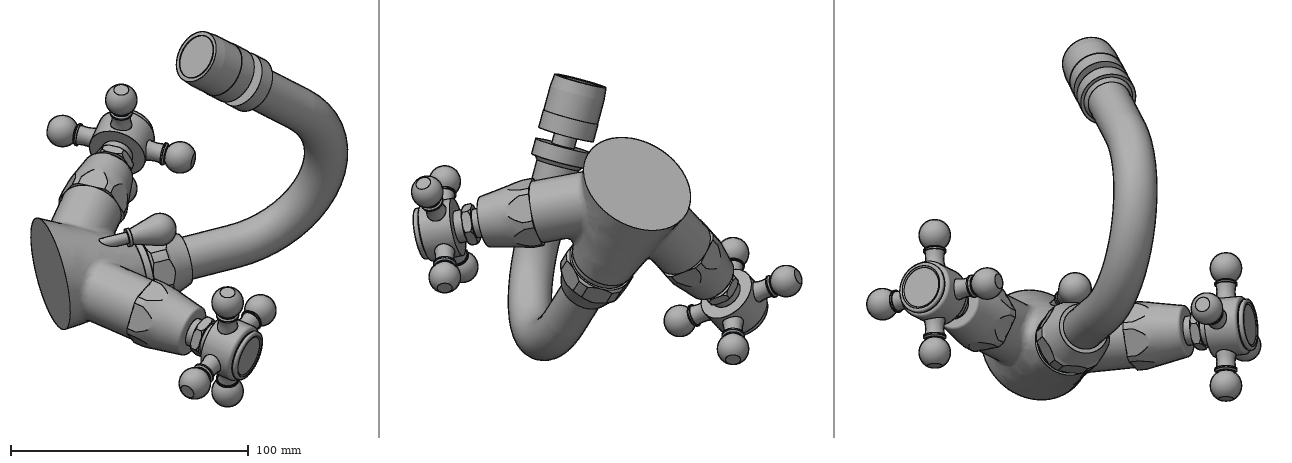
import cadquery as cq
import math

BASE_RADIUS = 24.2
BASE_Z = 2.0
SEAT_RADIUS = 14.0
SEAT_Y = 38.6
SPOUT_Z = -9.3

NUT_NECK_RADIUS = 13.2
NUT_RADIUS = 15.1
NUT_FLAT_DISTANCE = 14.0
NUT_BACK_Y = 41.8
NUT_FRONT_Y = 49.6
NUT_SHOULDER_Y = 50.9
NUT_SHOULDER_RADIUS = 14.2
NUT_BACK_CHAMFER = 1.0
NUT_TIP_Y = 59.6
NUT_TIP_RADIUS = 10.9

LEVER_Z = 11.5
LEVER_ROD_RADIUS = 2.5
LEVER_BALL_RADIUS = 6.8
LEVER_BALL_Y = 49.0
LEVER_CONE_START_Y = 46.3
LEVER_CONE_END_Y = 35.6
LEVER_CONE_END_RADIUS = 3.2
LEVER_FLANGE_RADIUS = 3.9
LEVER_FLANGE_LENGTH = 1.4
LEVER_ROOT_Y = 17.5

HANDLE_ANGLE = 37.9
HUB_X = 65.1
HUB_Y = 55.5
ARM_RADIUS = 13.2
ARM_START = -73.2
ARM_FILLET = 3.5

COLLAR_START = -40.9
COLLAR_CONE_START = -36.7
COLLAR_END = -17.0
COLLAR_RADIUS = 14.4
COLLAR_END_RADIUS = 10.7
COLLAR_END_FILLET = 1.2
COLLAR_FLAT_DISTANCE = ARM_RADIUS

SPINDLE_RADIUS = 6.1
SPINDLE_NUT_START = -13.5
SPINDLE_NUT_END = -9.5
SPINDLE_NUT_RADIUS = 8.8
SPINDLE_NUT_CHAMFER = 0.9
HUB_NECK_RADIUS = 6.8

HUB_START = -5.6
HUB_END = 8.5
HUB_RADIUS = 12.3
HUB_FILLET = 1.32
CAP_NECK_RADIUS = 10.2
CAP_NECK_END = 8.8
CAP_RADIUS = 10.9
CAP_END = 10.9
CAP_FILLET = 0.7
CAP_RECESS_RADIUS = 8.6
CAP_RECESS_RIM_RADIUS = 9.3
CAP_RECESS_DEPTH = 0.4

POST_FOOT_X = 11.2
POST_FOOT_RADIUS = 4.5
POST_WAIST_X = 15.6
POST_WAIST_RADIUS = 3.9
POST_END_RADIUS = 4.2
RING_START = 18.6
RING_END = 19.3
RING_RADIUS = 4.7
RING_CHAMFER = 0.7
BALL_NECK_RADIUS = 3.5
BALL_CENTRE = 26.0
BALL_RADIUS = 6.7
BALL_FLAT_RADIUS = 3.2

PIPE_RADIUS = 9.1
SPOUT_MAX_Y = 132.5
BEND_START_Y = 82.0
BEND_RADIUS = SPOUT_MAX_Y - PIPE_RADIUS - BEND_START_Y
BEND_ANGLE = 135.0
PIPE_END_LENGTH = 28.5
SWIVEL_CONE_LENGTH = 1.8
SWIVEL_CONE_RADIUS = 10.5
SWIVEL_COLLAR_LENGTH = 6.7
NOZZLE_RADIUS = 12.0
NOZZLE_NECK_LENGTH = 5.0
NOZZLE_NECK_RADIUS = 5.0
SLEEVE_LENGTH = 7.7
AERATOR_RADIUS = 11.8
AERATOR_LENGTH = 10.4
NOZZLE_LIP_LENGTH = 5.3
NOZZLE_LIP_RADIUS = 11.2
NOZZLE_RECESS_RADIUS = 9.5
NOZZLE_RECESS_DEPTH = 0.4

FLAT_COUNT = 6
SPOKE_COUNT = 4


def turn_about_x(profile):
    """Revolve a closed (x, radius) profile about the X axis."""
    return cq.Workplane("XY").polyline(profile).close().revolve(360, (0, 0, 0), (1, 0, 0))


def cylinder_x(start, end, radius):
    """A cylinder along X from start to end."""
    return cq.Workplane("YZ", origin=(start, 0, 0)).circle(radius).extrude(end - start)


def hexagonal_bar(start, end, flat_distance):
    """A hexagonal bar along X with one pair of flats facing up and down."""
    corner_diameter = 2 * flat_distance / math.cos(math.pi / FLAT_COUNT)
    return (
        cq.Workplane("YZ", origin=(start, 0, 0)).polygon(FLAT_COUNT, corner_diameter).extrude(end - start)
    )


def along_y(part, z):
    """Turn a part made along X to run along Y at the given height."""
    return part.rotate((0, 0, 0), (0, 0, 1), 90).translate((0, 0, z))


def placed_pair(handle_part):
    """The right-hand and mirrored left-hand copies of a part made in handle coordinates."""
    right = handle_part.rotate((0, 0, 0), (0, 0, 1), HANDLE_ANGLE).translate((HUB_X, HUB_Y, 0))
    return [right, right.mirror("YZ")]


def make_base():
    """The oblique cone and both arms, with the joints between them rounded."""
    disc = cq.Wire.makeCircle(BASE_RADIUS, cq.Vector(0, 0, BASE_Z), cq.Vector(0, 1, 0))
    seat = cq.Wire.makeCircle(SEAT_RADIUS, cq.Vector(0, SEAT_Y, SPOUT_Z), cq.Vector(0, 1, 0))
    base = cq.Workplane(cq.Solid.makeLoft([disc, seat], True))
    for arm in placed_pair(cylinder_x(ARM_START, COLLAR_START, ARM_RADIUS)):
        base = base.union(arm)
    return base.edges("not(%CIRCLE or %LINE)").fillet(ARM_FILLET)


def make_retaining_nut():
    """The nut that holds the spout, with its neck."""
    neck = cylinder_x(SEAT_Y, NUT_BACK_Y, NUT_NECK_RADIUS)
    nut = turn_about_x([
        (NUT_BACK_Y, 0),
        (NUT_BACK_Y, NUT_RADIUS - NUT_BACK_CHAMFER),
        (NUT_BACK_Y + NUT_BACK_CHAMFER, NUT_RADIUS),
        (NUT_FRONT_Y, NUT_RADIUS),
        (NUT_SHOULDER_Y, NUT_SHOULDER_RADIUS),
        (NUT_TIP_Y, NUT_TIP_RADIUS),
        (NUT_TIP_Y, 0),
    ])
    nut = nut.intersect(hexagonal_bar(NUT_BACK_Y, NUT_TIP_Y, NUT_FLAT_DISTANCE))
    return along_y(neck.union(nut), SPOUT_Z)


def make_lever():
    """The rod, flange and teardrop knob of the waste lever."""
    cone_start_radius = math.sqrt(LEVER_BALL_RADIUS**2 - (LEVER_BALL_Y - LEVER_CONE_START_Y) ** 2)
    flange_start = LEVER_CONE_END_Y - LEVER_FLANGE_LENGTH
    lever = (
        cq.Workplane("XY")
        .moveTo(LEVER_ROOT_Y, 0)
        .lineTo(LEVER_ROOT_Y, LEVER_ROD_RADIUS)
        .lineTo(flange_start, LEVER_ROD_RADIUS)
        .lineTo(flange_start, LEVER_FLANGE_RADIUS)
        .lineTo(LEVER_CONE_END_Y, LEVER_FLANGE_RADIUS)
        .lineTo(LEVER_CONE_END_Y, LEVER_CONE_END_RADIUS)
        .lineTo(LEVER_CONE_START_Y, cone_start_radius)
        .threePointArc((LEVER_BALL_Y, LEVER_BALL_RADIUS), (LEVER_BALL_Y + LEVER_BALL_RADIUS, 0))
        .close()
        .revolve(360, (0, 0, 0), (1, 0, 0))
    )
    return along_y(lever, LEVER_Z)


def make_collar():
    """The tapered collar at the end of an arm, with six flats."""
    collar = turn_about_x([
        (COLLAR_START, 0),
        (COLLAR_START, COLLAR_RADIUS),
        (COLLAR_CONE_START, COLLAR_RADIUS),
        (COLLAR_END, COLLAR_END_RADIUS),
        (COLLAR_END, 0),
    ])
    collar = collar.faces(">X").edges().fillet(COLLAR_END_FILLET)
    return collar.intersect(hexagonal_bar(COLLAR_START, COLLAR_END, COLLAR_FLAT_DISTANCE))


def make_spindle():
    """The spindle with its hexagonal nut, from the collar to the hub."""
    spindle = cylinder_x(COLLAR_END, SPINDLE_NUT_START, SPINDLE_RADIUS)
    flat_distance = SPINDLE_NUT_RADIUS * math.cos(math.pi / FLAT_COUNT)
    nut = hexagonal_bar(SPINDLE_NUT_START, SPINDLE_NUT_END, flat_distance)
    chamfered_disc = cylinder_x(SPINDLE_NUT_START, SPINDLE_NUT_END, SPINDLE_NUT_RADIUS)
    nut = nut.intersect(chamfered_disc.edges().chamfer(SPINDLE_NUT_CHAMFER))
    neck = cylinder_x(SPINDLE_NUT_END, HUB_START, HUB_NECK_RADIUS)
    return spindle.union(nut).union(neck)


def make_hub():
    """The hub drum with its rimmed cap."""
    drum = cylinder_x(HUB_START, HUB_END, HUB_RADIUS).faces(">X").edges().fillet(HUB_FILLET)
    cap_neck = cylinder_x(HUB_END, CAP_NECK_END, CAP_NECK_RADIUS)
    cap = cylinder_x(CAP_NECK_END, CAP_END, CAP_RADIUS).edges().fillet(CAP_FILLET)
    recess = turn_about_x([
        (CAP_END - CAP_RECESS_DEPTH, 0),
        (CAP_END - CAP_RECESS_DEPTH, CAP_RECESS_RADIUS),
        (CAP_END, CAP_RECESS_RIM_RADIUS),
        (CAP_END, 0),
    ])
    return drum.union(cap_neck).union(cap.cut(recess))


def make_spoke():
    """One spoke along local X, from the hub axis to its ball."""
    ball_start = BALL_CENTRE - math.sqrt(BALL_RADIUS**2 - BALL_NECK_RADIUS**2)
    ball_end = BALL_CENTRE + math.sqrt(BALL_RADIUS**2 - BALL_FLAT_RADIUS**2)
    return (
        cq.Workplane("XY")
        .lineTo(0, POST_FOOT_RADIUS)
        .lineTo(POST_FOOT_X, POST_FOOT_RADIUS)
        .threePointArc((POST_WAIST_X, POST_WAIST_RADIUS), (RING_START, POST_END_RADIUS))
        .lineTo(RING_START, RING_RADIUS)
        .lineTo(RING_END, RING_RADIUS)
        .lineTo(RING_END + RING_CHAMFER, RING_RADIUS - RING_CHAMFER)
        .lineTo(RING_END + RING_CHAMFER, BALL_NECK_RADIUS)
        .lineTo(ball_start, BALL_NECK_RADIUS)
        .threePointArc((BALL_CENTRE, BALL_RADIUS), (ball_end, BALL_FLAT_RADIUS))
        .lineTo(ball_end, 0)
        .close()
        .revolve(360, (0, 0, 0), (1, 0, 0))
    )


def make_handle():
    """Collar, spindle, hub and the cross of four spokes."""
    handle = make_collar().union(make_spindle()).union(make_hub())
    spoke = make_spoke().rotate((0, 0, 0), (0, 0, 1), 90)
    for index in range(SPOKE_COUNT):
        handle = handle.union(spoke.rotate((0, 0, 0), (1, 0, 0), 360 / SPOKE_COUNT * index))
    return handle


def make_faucet():
    """The base with its arms, handles, retaining nut and lever as one solid."""
    faucet = make_base().union(make_retaining_nut()).union(make_lever())
    for handle in placed_pair(make_handle()):
        faucet = faucet.union(handle)
    return faucet


def make_pipe():
    """The straight run from the nut and the bend that follows it."""
    run = cylinder_x(NUT_TIP_Y, BEND_START_Y, PIPE_RADIUS)
    bend = (
        cq.Workplane("YZ", origin=(BEND_START_Y, 0, 0))
        .circle(PIPE_RADIUS)
        .revolve(BEND_ANGLE, (1.8, BEND_RADIUS), (-1.8, BEND_RADIUS))
    )
    return along_y(run.union(bend), SPOUT_Z)


def make_nozzle():
    """The straight pipe end, swivel collar and nozzle, made along X from the end of the bend."""
    cone_end = PIPE_END_LENGTH + SWIVEL_CONE_LENGTH
    collar_end = cone_end + SWIVEL_COLLAR_LENGTH
    neck_end = collar_end + NOZZLE_NECK_LENGTH
    sleeve_end = neck_end + SLEEVE_LENGTH
    aerator_end = sleeve_end + AERATOR_LENGTH
    nozzle_end = aerator_end + NOZZLE_LIP_LENGTH
    nozzle = turn_about_x([
        (0, 0),
        (0, PIPE_RADIUS),
        (PIPE_END_LENGTH, PIPE_RADIUS),
        (cone_end, SWIVEL_CONE_RADIUS),
        (cone_end, NOZZLE_RADIUS),
        (collar_end, NOZZLE_RADIUS),
        (collar_end, NOZZLE_NECK_RADIUS),
        (neck_end, NOZZLE_NECK_RADIUS),
        (neck_end, NOZZLE_RADIUS),
        (sleeve_end, NOZZLE_RADIUS),
        (sleeve_end, AERATOR_RADIUS),
        (aerator_end, AERATOR_RADIUS),
        (nozzle_end, NOZZLE_LIP_RADIUS),
        (nozzle_end, NOZZLE_RECESS_RADIUS),
        (nozzle_end - NOZZLE_RECESS_DEPTH, NOZZLE_RECESS_RADIUS),
        (nozzle_end - NOZZLE_RECESS_DEPTH, 0),
    ])
    bend = math.radians(BEND_ANGLE)
    bend_end = (
        0,
        BEND_START_Y + BEND_RADIUS * math.sin(bend),
        SPOUT_Z + BEND_RADIUS * (1 - math.cos(bend)),
    )
    return along_y(nozzle, 0).rotate((0, 0, 0), (1, 0, 0), BEND_ANGLE).translate(bend_end)


def make_spout():
    """The bent pipe and its nozzle as one solid."""
    return make_pipe().union(make_nozzle())


faucet = make_faucet()
spout = make_spout()

result = cq.Compound.makeCompound([faucet.val(), spout.val()])